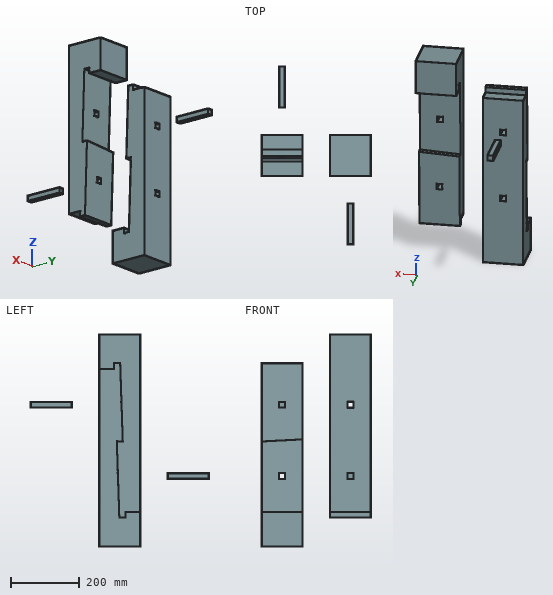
import cadquery as cq

joint_height = 620.0
post_width = 120.0
post_spacing = 199.5

shoulder_height = 101.0
tongue_length = 17.0
tongue_back = 17.5
scarf_end_offset = 1.0
scarf_step_offset = 8.5
step_rise = 6.0

peg_size = 17.0
peg_length = 120.0
overall_depth = 520.0
peg_height_offset = 104.0

half_width = post_width / 2
peg_travel = (overall_depth - peg_length) / 2
mid_height = joint_height / 2
peg_heights = (mid_height - peg_height_offset, mid_height + peg_height_offset)
left_x = -post_spacing / 2
right_x = post_spacing / 2


def scarf_y(distance):
    """Y of the upper scarf face at a distance above mid height (the lower face is linear too)."""
    run = mid_height - shoulder_height + tongue_length
    return -scarf_step_offset + (scarf_step_offset - scarf_end_offset) * distance / run


def profile(step_z):
    """Y-Z outline of the heel-down post, with its step at height step_z."""
    groove_z = shoulder_height - tongue_length
    tongue_top = joint_height - groove_z
    upper_shoulder = joint_height - shoulder_height
    step_distance = step_z - mid_height
    return [
        (half_width, 0),
        (half_width, upper_shoulder),
        (tongue_back, upper_shoulder),
        (tongue_back, tongue_top),
        (-scarf_end_offset, tongue_top),
        (scarf_y(step_distance), step_z),
        (-scarf_y(-step_distance), step_z),
        (scarf_end_offset, groove_z),
        (-tongue_back, groove_z),
        (-tongue_back, shoulder_height),
        (-half_width, shoulder_height),
        (-half_width, 0),
    ]


def make_post():
    """Heel-down post centred on X = 0; the ruled loft makes the step climb towards +X."""
    post = (
        cq.Workplane("YZ", origin=(-half_width, 0, 0))
        .polyline(profile(mid_height - step_rise / 2))
        .close()
        .workplane(offset=post_width)
        .polyline(profile(mid_height + step_rise / 2))
        .close()
        .loft(ruled=True)
    )
    for height in peg_heights:
        hole = cq.Workplane("XY").box(peg_size, post_width, peg_size).translate((0, 0, height))
        post = post.cut(hole)
    return post


def make_mating_post():
    """Heel-up post: the heel-down post inverted through the centre of the joint."""
    turned = make_post().rotate((0, 0, mid_height), (1, 0, mid_height), 180)
    return turned.mirror("YZ")


def make_peg(x, y, z):
    return cq.Workplane("XY").box(peg_size, peg_length, peg_size).translate((x, y, z))


heel_down_post = make_post().translate((left_x, 0, 0))
heel_up_post = make_mating_post().translate((right_x, 0, 0))

peg_places = [
    (left_x, peg_travel, peg_heights[1]),
    (right_x, -peg_travel, peg_heights[0]),
]
pegs = [make_peg(*place).val() for place in peg_places]

result = cq.Compound.makeCompound([heel_down_post.val(), heel_up_post.val(), *pegs])